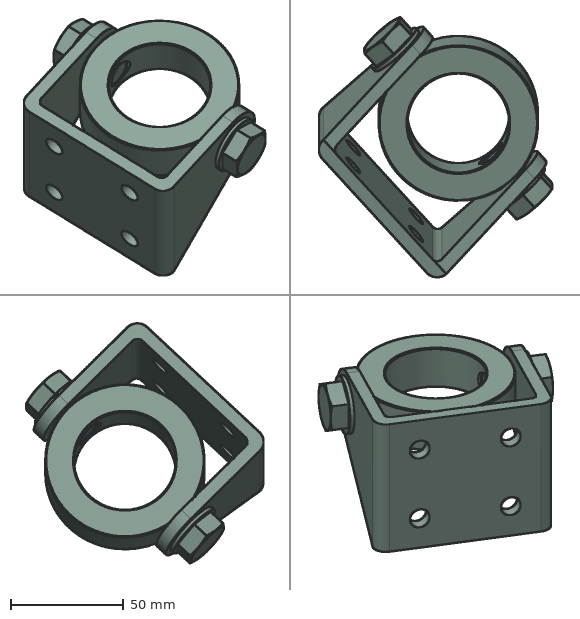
import cadquery as cq
import math

OVERALL_LENGTH = 102.6

BRACKET_WIDTH = 82.1
PLATE = 6.1
BEND_OUTER_RADIUS = 6.2
BEND_INNER_RADIUS = 3.0
EAR_RADIUS = 16.0
BRACKET_HEIGHT = 65.0
BACK_Y = -50.0
MOUNT_HOLE_DIAMETER = 9.0
MOUNT_HOLE_MARGIN = 15.0
MOUNT_HOLE_SPACING_X = 42.0

RING_DIAMETER = 71.0
RING_BORE = 45.1
RING_HEIGHT = 20.0
RING_CHAMFER = 0.5

SHANK_DIAMETER = 11.8
SHANK_TIP_X = 23.0
COUNTERSINK_DIAMETER = 14.0
COUNTERSINK_START_X = 21.4
FLANGE_DIAMETER = 26.4
FLANGE_THICKNESS = 2.0
HEX_ACROSS_FLATS = 21.0
HEX_FACE_DIAMETER = 20.5
HEX_CHAMFER_DEPTH = 0.6

INNER_WIDTH = BRACKET_WIDTH - 2 * PLATE
BOTTOM_Z = EAR_RADIUS - BRACKET_HEIGHT
HEX_ACROSS_CORNERS = HEX_ACROSS_FLATS / math.cos(math.pi / 6)


def x_cylinder(diameter, start, end):
    """Cylinder on the pivot axis between two X positions."""
    return cq.Workplane("YZ").workplane(offset=start).circle(diameter / 2).extrude(end - start)


def make_channel():
    """Bent plate, open toward +Y, at full height."""
    depth = EAR_RADIUS - BACK_Y
    outer = (
        cq.Workplane("XY", origin=(0, BACK_Y + depth / 2, BOTTOM_Z))
        .rect(BRACKET_WIDTH, depth)
        .extrude(BRACKET_HEIGHT)
        .edges("|Z and <Y")
        .fillet(BEND_OUTER_RADIUS)
    )
    inner = (
        cq.Workplane("XY", origin=(0, BACK_Y + PLATE + depth / 2, BOTTOM_Z))
        .rect(INNER_WIDTH, depth)
        .extrude(BRACKET_HEIGHT)
        .edges("|Z and <Y")
        .fillet(BEND_INNER_RADIUS)
    )
    return outer.cut(inner)


def make_side_profile():
    """Side outline with a round ear and a sloping edge tangent to it."""
    corner_y = BACK_Y + BEND_OUTER_RADIUS
    corner_angle = math.atan2(BOTTOM_Z, corner_y)
    tangent_angle = corner_angle + math.acos(EAR_RADIUS / math.hypot(corner_y, BOTTOM_Z))
    tangent = (EAR_RADIUS * math.cos(tangent_angle), EAR_RADIUS * math.sin(tangent_angle))
    return (
        cq.Workplane("YZ", origin=(-BRACKET_WIDTH / 2, 0, 0))
        .moveTo(BACK_Y, EAR_RADIUS)
        .lineTo(0, EAR_RADIUS)
        .threePointArc((EAR_RADIUS, 0), tangent)
        .lineTo(corner_y, BOTTOM_Z)
        .lineTo(BACK_Y, BOTTOM_Z)
        .close()
        .extrude(BRACKET_WIDTH)
    )


def make_mount_holes():
    hole_spacing_z = BRACKET_HEIGHT - 2 * MOUNT_HOLE_MARGIN
    return (
        cq.Workplane("XZ", origin=(0, BACK_Y + PLATE, BOTTOM_Z + BRACKET_HEIGHT / 2))
        .rarray(MOUNT_HOLE_SPACING_X, hole_spacing_z, 2, 2)
        .circle(MOUNT_HOLE_DIAMETER / 2)
        .extrude(PLATE)
    )


def make_bracket():
    pivot_holes = x_cylinder(SHANK_DIAMETER, -BRACKET_WIDTH / 2, BRACKET_WIDTH / 2)
    return make_channel().intersect(make_side_profile()).cut(make_mount_holes()).cut(pivot_holes)


def make_hex_head():
    """Hexagon with corners up and down and a conical chamfer on its outer face."""
    start = BRACKET_WIDTH / 2 + FLANGE_THICKNESS
    end = OVERALL_LENGTH / 2
    corner_radius = HEX_ACROSS_CORNERS / 2
    hexagon = (
        cq.Workplane("YZ", origin=(start, 0, 0))
        .transformed(rotate=(0, 0, 90))
        .polygon(6, HEX_ACROSS_CORNERS)
        .extrude(end - start)
    )
    envelope = (
        cq.Workplane("XY")
        .moveTo(start, 0)
        .lineTo(start, corner_radius)
        .lineTo(end - HEX_CHAMFER_DEPTH, corner_radius)
        .lineTo(end, HEX_FACE_DIAMETER / 2)
        .lineTo(end, 0)
        .close()
        .revolve(360, (0, 0, 0), (1, 0, 0))
    )
    return hexagon.intersect(envelope)


def make_bolt():
    """Bolt on the +X side: shank, round flange and hexagon head."""
    flange_start = BRACKET_WIDTH / 2
    flange_end = flange_start + FLANGE_THICKNESS
    shank = x_cylinder(SHANK_DIAMETER, SHANK_TIP_X, flange_end)
    flange = x_cylinder(FLANGE_DIAMETER, flange_start, flange_end)
    return shank.union(flange).union(make_hex_head())


def make_shank_holes():
    """Hole through both sides of the ring, countersunk at 45 degrees from the bore."""
    depth = (COUNTERSINK_DIAMETER - SHANK_DIAMETER) / 2
    countersink_end = COUNTERSINK_START_X + depth
    countersinks = x_cylinder(COUNTERSINK_DIAMETER, -countersink_end, countersink_end)
    countersinks = countersinks.faces("|X").edges().chamfer(depth)
    return x_cylinder(SHANK_DIAMETER, -INNER_WIDTH / 2, INNER_WIDTH / 2).union(countersinks)


def make_ring():
    """Chamfered ring with side flats against the bracket and a bolt fixed in each side."""
    ring = (
        cq.Workplane("XY", origin=(0, 0, -RING_HEIGHT / 2))
        .circle(RING_DIAMETER / 2)
        .circle(RING_BORE / 2)
        .extrude(RING_HEIGHT)
        .faces("|Z")
        .edges()
        .chamfer(RING_CHAMFER)
    )
    ring = ring.intersect(cq.Workplane("XY").box(INNER_WIDTH, RING_DIAMETER, RING_HEIGHT))
    ring = ring.cut(make_shank_holes())
    for angle in (0, 180):
        ring = ring.union(make_bolt().rotate((0, 0, 0), (0, 0, 1), angle))
    return ring


bracket = make_bracket()
ring_with_bolts = make_ring()

result = cq.Compound.makeCompound([bracket.val(), ring_with_bolts.val()])